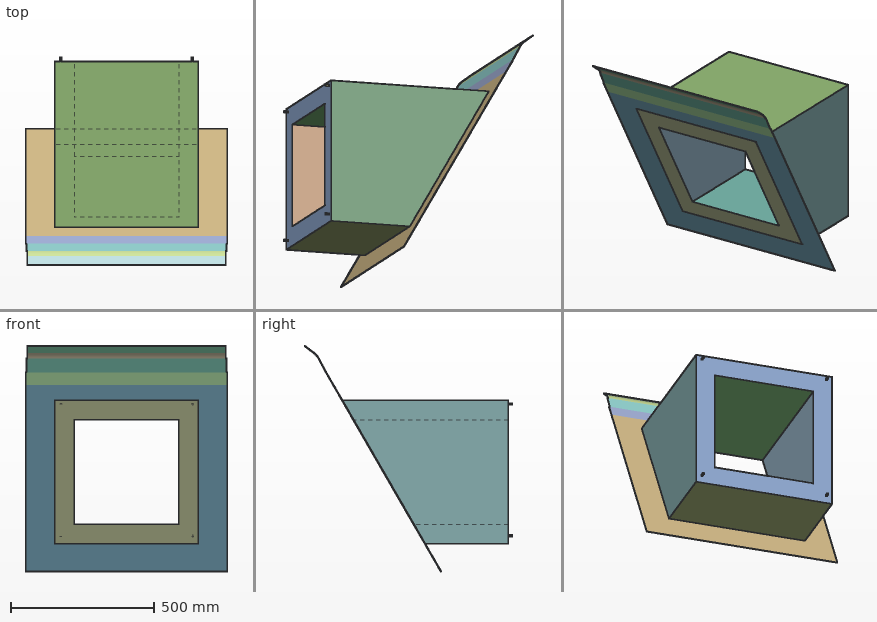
import cadquery as cq
import math


box_side = 503.0
passage_side = 364.0
box_depth_bottom = 291.73

overall_height = 789.25
flange_width = 705.41
sheet_thickness = 1.5
slope_angle = 60.0
drop_below_box = 96.8
main_length = 752.5
band_length = 51.5

edge_step = 2.8
rise_angle = 62.0
rise_length = 54.5
bend_radius = 60.0
lip_angle = 37.0

pin_diameter = 6.0
pin_length = 14.0
pin_pitch = 460.0
pin_grid_lift = 7.5


def along(point, angle, distance):
    """Return the (y, z) point reached by climbing forward (-Y) at an angle in degrees."""
    a = math.radians(angle)
    return point[0] - distance * math.cos(a), point[1] + distance * math.sin(a)


def behind(point, angle, distance):
    """Return the (y, z) point behind a sheet of the given angle, square to it."""
    return along(point, angle - 90, -distance)


def extrude_profile(profile, width):
    """Extrude a closed YZ profile symmetrically about the X mid-plane."""
    return profile.close().extrude(width / 2, both=True)


def make_box():
    half = box_side / 2
    depth_top = box_depth_bottom + box_side / math.tan(math.radians(slope_angle))
    profile = cq.Workplane("YZ").polyline(
        [(0, -half), (-box_depth_bottom, -half), (-depth_top, half), (0, half)]
    )
    return extrude_profile(profile, box_side)


def make_strip(start, angle, length, width):
    """Make a flat strip of sheet whose front face climbs from the start point."""
    end = along(start, angle, length)
    profile = cq.Workplane("YZ").polyline(
        [start, end, behind(end, angle, sheet_thickness), behind(start, angle, sheet_thickness)]
    )
    return extrude_profile(profile, width)


def make_bend(start, width):
    """Make the curved strip that turns the sheet forward; return it with its upper front point."""
    centre = behind(start, rise_angle, -bend_radius)
    mid_angle = (rise_angle + lip_angle) / 2
    outer_radius = bend_radius + sheet_thickness
    end = behind(centre, lip_angle, bend_radius)
    profile = (
        cq.Workplane("YZ")
        .moveTo(*start)
        .threePointArc(behind(centre, mid_angle, bend_radius), end)
        .lineTo(*behind(centre, lip_angle, outer_radius))
        .threePointArc(
            behind(centre, mid_angle, outer_radius),
            behind(centre, rise_angle, outer_radius),
        )
    )
    return extrude_profile(profile, width), end


def make_flange():
    bottom_z = -box_side / 2 - drop_below_box
    bottom_run = drop_below_box / math.tan(math.radians(slope_angle))
    bottom = (-box_depth_bottom + bottom_run, bottom_z)
    band_start = along(bottom, slope_angle, main_length)
    rise_start = along(band_start, slope_angle, band_length)
    bend_start = along(rise_start, rise_angle, rise_length)
    rise_width = flange_width - 2 * edge_step
    lip_width = rise_width - 2 * edge_step

    bend, lip_start = make_bend(bend_start, lip_width)
    lip_radians = math.radians(lip_angle)
    lip_top_z = bottom_z + overall_height - sheet_thickness * math.cos(lip_radians)
    lip_length = (lip_top_z - lip_start[1]) / math.sin(lip_radians)

    return [
        make_strip(bottom, slope_angle, main_length, flange_width),
        make_strip(band_start, slope_angle, band_length, flange_width),
        make_strip(rise_start, rise_angle, rise_length, rise_width),
        bend,
        make_strip(lip_start, lip_angle, lip_length, lip_width),
    ]


def make_pins():
    return (
        cq.Workplane("XZ")
        .center(0, pin_grid_lift)
        .rect(pin_pitch, pin_pitch, forConstruction=True)
        .vertices()
        .circle(pin_diameter / 2)
        .extrude(-pin_length)
    )


def make_passage():
    """Make the square bar that clears the passage through box and flange."""
    reach = 2 * overall_height
    return cq.Workplane("XZ").rect(passage_side, passage_side).extrude(reach, both=True)


result = make_box().union(make_pins())
for strip in make_flange():
    result = result.union(strip, clean=False)
result = result.cut(make_passage(), clean=False)